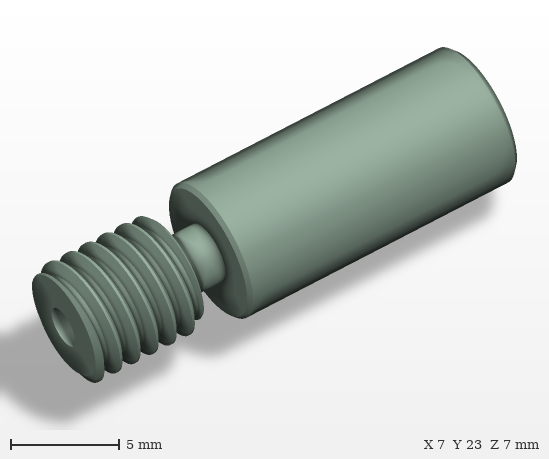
import cadquery as cq
import math

total_length = 23.0
bore_diameter = 2.0

thread_diameter = 6.0
thread_length = 6.0
thread_chamfer = 0.3
pitch = 1.0

neck_diameter = 3.0
neck_length = 2.0

body_diameter = 7.0
body_front_chamfer = 0.2
body_rear_chamfer = 0.3

flank_half_angle = 30.0
flank_slope = math.tan(math.radians(flank_half_angle))
crest_flat = pitch / 8
root_flat = pitch / 4
thread_depth = (pitch - crest_flat - root_flat) / 2 / flank_slope
groove_overshoot = 0.05
crest_offset_at_x = 0.23

body_start = thread_length + neck_length
body_length = total_length - body_start


def cylinder_along_y(diameter, start, length):
    """Solid cylinder on the Y axis from Y = start to Y = start + length."""
    plane = cq.Workplane("XZ", origin=(0, start, 0))
    return plane.circle(diameter / 2).extrude(-length)


def thread_groove():
    """Right-handed helical cutter around Z that runs past both ends of the thread."""
    root_radius = thread_diameter / 2 - thread_depth
    outer_radius = thread_diameter / 2 + groove_overshoot
    root_half_width = root_flat / 2
    outer_half_width = root_half_width + (outer_radius - root_radius) * flank_slope
    start = crest_offset_at_x - pitch / 2 - pitch
    helix_length = thread_length + 2 * pitch

    section = [
        (root_radius, -root_half_width),
        (outer_radius, -outer_half_width),
        (outer_radius, outer_half_width),
        (root_radius, root_half_width),
    ]
    helices = [
        cq.Wire.makeHelix(pitch, helix_length, radius, center=cq.Vector(0, 0, start + offset))
        for radius, offset in section
    ]

    faces = []
    for helix, next_helix in zip(helices, helices[1:] + helices[:1]):
        faces.extend(cq.Face.makeRuledSurface(helix, next_helix).Faces())
    start_corners = [helix.startPoint() for helix in helices]
    end_corners = [helix.endPoint() for helix in helices]
    for corners in (start_corners, end_corners):
        faces.append(cq.Face.makeFromWires(cq.Wire.makePolygon(corners, close=True)))
    return cq.Workplane(cq.Solid.makeSolid(cq.Shell.makeShell(faces)))


def threaded_end():
    blank = cylinder_along_y(thread_diameter, 0, thread_length)
    blank = blank.faces("<Y or >Y").chamfer(thread_chamfer)
    groove = thread_groove().rotate((0, 0, 0), (1, 0, 0), -90)
    return blank.cut(groove)


def neck():
    return cylinder_along_y(neck_diameter, thread_length, neck_length)


def body():
    cylinder = cylinder_along_y(body_diameter, body_start, body_length)
    cylinder = cylinder.faces("<Y").chamfer(body_front_chamfer)
    return cylinder.faces(">Y").chamfer(body_rear_chamfer)


def bore():
    return cylinder_along_y(bore_diameter, 0, total_length)


result = threaded_end().union(neck()).union(body()).cut(bore())